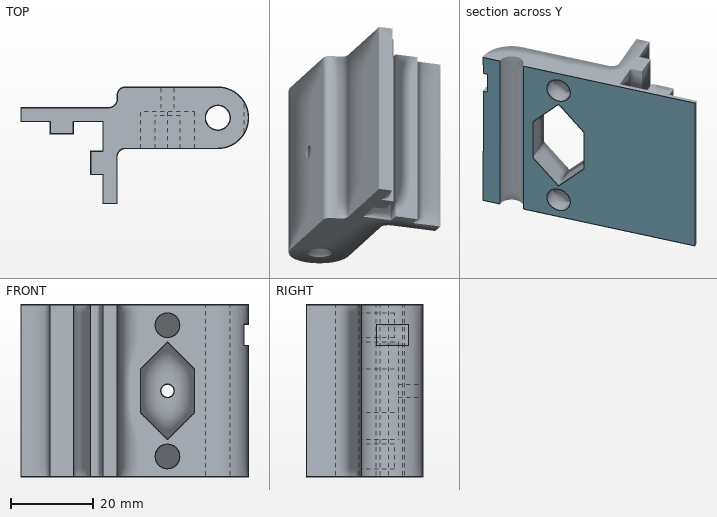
import cadquery as cq

height = 42.0
leg_length = 23.45
leg_thickness = 3.45
arm_thickness = 15.0
arm_step = 5.0
arm_end_radius = arm_thickness / 2
arm_tip_x = 55.5
fillet_radius = 2.0

key_center = 9.95
key_width = 5.7
key_height = 3.0

pivot_diameter = 6.0
pin_diameter = 6.0
pin_depth = 8.0
pin_offset = 16.0
bolt_diameter = 3.2
pocket_half_width = 6.6
pocket_half_height = 11.9
pocket_depth = 9.0
notch_depth = 1.1
notch_bottom = 32.1
notch_height = 5.1

leg_end_y = -leg_length
inner_corner_x = leg_length - leg_thickness
inner_corner_y = -leg_thickness
arm_back_y = arm_step
arm_front_y = arm_back_y - arm_thickness
pivot_x = arm_tip_x - arm_end_radius
pivot_y = (arm_back_y + arm_front_y) / 2
pocket_x = (leg_length + pivot_x) / 2
mid_z = height / 2


def block(x_min, x_max, y_min, y_max, z_min=0.0, z_max=height):
    """Box given by its limits along each axis."""
    return cq.Workplane("XY").box(
        x_max - x_min, y_max - y_min, z_max - z_min, centered=False
    ).translate((x_min, y_min, z_min))


def make_body():
    """Angle with two equal legs and a round-ended arm, rounded where they join."""
    body = (
        cq.Workplane("XY")
        .moveTo(0, 0)
        .lineTo(leg_length, 0)
        .lineTo(leg_length, arm_back_y)
        .lineTo(pivot_x, arm_back_y)
        .threePointArc((arm_tip_x, pivot_y), (pivot_x, arm_front_y))
        .lineTo(leg_length, arm_front_y)
        .lineTo(leg_length, leg_end_y)
        .lineTo(inner_corner_x, leg_end_y)
        .lineTo(inner_corner_x, inner_corner_y)
        .lineTo(0, inner_corner_y)
        .close()
        .extrude(height)
    )
    for corner_y in (0, arm_back_y, arm_front_y):
        corner = cq.selectors.NearestToPointSelector((leg_length, corner_y, mid_z))
        body = body.edges("|Z").edges(corner).fillet(fillet_radius)
    return body


def make_keys():
    """One full-height key on the inner face of each leg."""
    key_start = key_center - key_width / 2
    key_end = key_center + key_width / 2
    x_leg_key = block(key_start, key_end, inner_corner_y - key_height, inner_corner_y)
    y_leg_key = block(
        inner_corner_x - key_height, inner_corner_x, leg_end_y + key_start, leg_end_y + key_end
    )
    return x_leg_key.union(y_leg_key)


def arm_front_plane():
    """Plane on the arm's front face, centred on the pocket, with its normal along -Y."""
    return cq.Workplane("XZ", origin=(pocket_x, arm_front_y, mid_z))


def make_pocket():
    """Blind hexagonal pocket with 45 degree points at top and bottom."""
    side_half_height = pocket_half_height - pocket_half_width
    outline = [
        (0, pocket_half_height),
        (pocket_half_width, side_half_height),
        (pocket_half_width, -side_half_height),
        (0, -pocket_half_height),
        (-pocket_half_width, -side_half_height),
        (-pocket_half_width, side_half_height),
    ]
    return arm_front_plane().polyline(outline).close().extrude(-pocket_depth)


def make_cross_holes():
    """Bolt hole through the arm and two blind pin holes."""
    bolt_hole = arm_front_plane().circle(bolt_diameter / 2).extrude(-arm_thickness)
    pin_centers = [(0, pin_offset), (0, -pin_offset)]
    pin_holes = arm_front_plane().pushPoints(pin_centers).circle(pin_diameter / 2).extrude(-pin_depth)
    return bolt_hole.union(pin_holes)


def make_pivot_hole():
    """Vertical hole concentric with the round end of the arm."""
    return cq.Workplane("XY").center(pivot_x, pivot_y).circle(pivot_diameter / 2).extrude(height)


def make_tip_notch():
    """Shallow flat cut across the tip of the arm."""
    return block(
        arm_tip_x - notch_depth, arm_tip_x, arm_front_y, arm_back_y,
        notch_bottom, notch_bottom + notch_height,
    )


result = (
    make_body()
    .union(make_keys())
    .cut(make_pocket())
    .cut(make_cross_holes())
    .cut(make_pivot_hole())
    .cut(make_tip_notch())
)